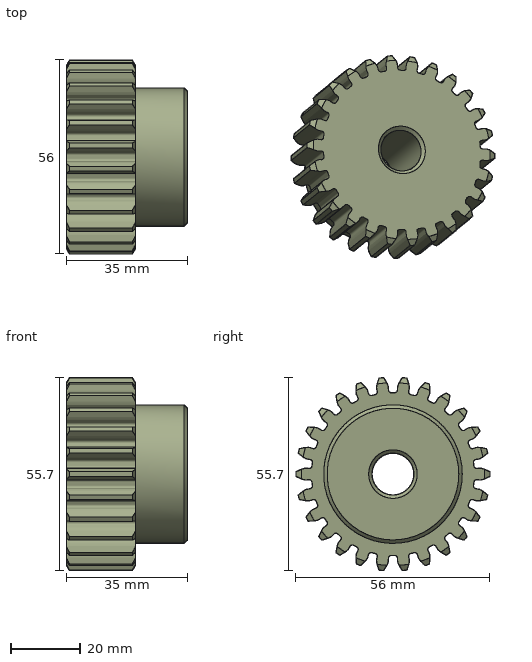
import cadquery as cq
import math


outer_diameter = 56.0
tooth_count = 26
pressure_angle = math.radians(20)
module = outer_diameter / (tooth_count + 2)
outer_radius = outer_diameter / 2
pitch_radius = module * tooth_count / 2
base_radius = pitch_radius * math.cos(pressure_angle)
dedendum = 1.25 * module
root_radius = pitch_radius - dedendum
root_fillet = 0.38 * module

involute_start_radius = pitch_radius - 0.33 * module
involute_end_radius = pitch_radius + 0.17 * module

cutter_radius = outer_radius + 0.2 * module

total_length = 35.0
gear_width = 20.0
hub_diameter = 40.0
hub_chamfer = 1.0

bore_diameter = 12.0
bore_chamfer = 1.0

relief_depth = 1.6
relief_length = 0.95


def involute(angle):
    """Involute function: tan(angle) - angle."""
    return math.tan(angle) - angle


def polar(radius, angle):
    """Point at the given radius, turned by angle from the centre line of a gap."""
    return radius * math.cos(angle), radius * math.sin(angle)


def gap_half_angle(radius):
    """Half of the angle spanned by a tooth gap at a radius on or above the base circle."""
    flank_angle = math.acos(base_radius / radius)
    return math.pi / (2 * tooth_count) - involute(pressure_angle) + involute(flank_angle)


def make_blank():
    """Turned body: gear disc with relieved edges, and hub with a chamfered end."""
    relieved_radius = outer_radius - relief_depth
    hub_radius = hub_diameter / 2
    return (
        cq.Workplane("XY")
        .moveTo(0, 0)
        .lineTo(0, relieved_radius)
        .lineTo(relief_length, outer_radius)
        .lineTo(gear_width - relief_length, outer_radius)
        .lineTo(gear_width, relieved_radius)
        .lineTo(gear_width, hub_radius)
        .lineTo(total_length - hub_chamfer, hub_radius)
        .lineTo(total_length, hub_radius - hub_chamfer)
        .lineTo(total_length, 0)
        .close()
        .revolve(360, (0, 0, 0), (1, 0, 0))
    )


def flank_point(radius, side):
    """Point on the flank of a gap; side is 1 or -1."""
    return polar(radius, side * gap_half_angle(radius))


def make_gap():
    """Cutter for one tooth gap, centred on the Y axis, with a filleted bottom."""
    involute_middle_radius = (involute_start_radius + involute_end_radius) / 2
    root_half_angle = gap_half_angle(involute_start_radius)
    root_start = polar(root_radius, root_half_angle)
    root_end = polar(root_radius, -root_half_angle)
    cutter = (
        cq.Workplane("YZ")
        .moveTo(*root_start)
        .lineTo(*flank_point(involute_start_radius, 1))
        .threePointArc(flank_point(involute_middle_radius, 1), flank_point(involute_end_radius, 1))
        .lineTo(*flank_point(cutter_radius, 1))
        .lineTo(*flank_point(cutter_radius, -1))
        .lineTo(*flank_point(involute_end_radius, -1))
        .threePointArc(flank_point(involute_middle_radius, -1), flank_point(involute_start_radius, -1))
        .lineTo(*root_end)
        .threePointArc((root_radius, 0), root_start)
        .close()
        .extrude(gear_width)
    )
    return cutter.edges("|X").edges("<Y").fillet(root_fillet)


def make_bore():
    """Through bore with a 45 degree countersink at each end."""
    radius = bore_diameter / 2
    mouth_radius = radius + bore_chamfer
    return (
        cq.Workplane("XY")
        .moveTo(0, 0)
        .lineTo(0, mouth_radius)
        .lineTo(bore_chamfer, radius)
        .lineTo(total_length - bore_chamfer, radius)
        .lineTo(total_length, mouth_radius)
        .lineTo(total_length, 0)
        .close()
        .revolve(360, (0, 0, 0), (1, 0, 0))
    )


pitch_angle = 360 / tooth_count
gap = make_gap()
gaps = [gap.rotate((0, 0, 0), (1, 0, 0), (i + 0.5) * pitch_angle).val() for i in range(tooth_count)]

result = make_blank().cut(make_bore()).cut(cq.Compound.makeCompound(gaps))